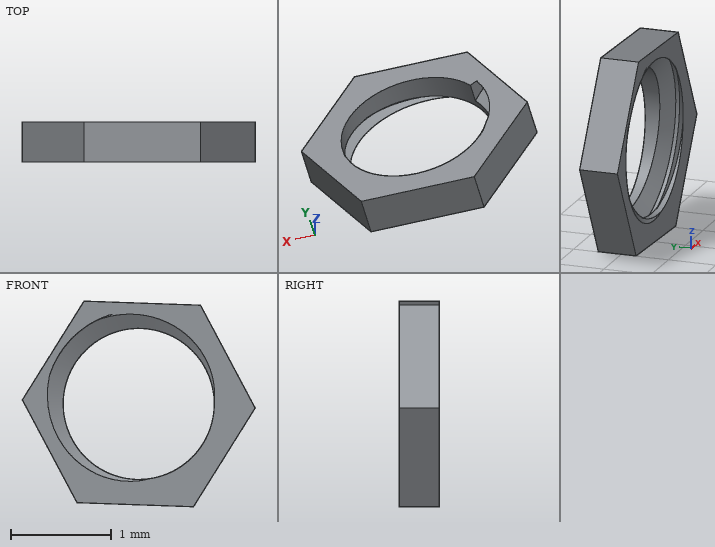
import cadquery as cq
import math

width = 2.31
thickness = 0.4
hex_tilt = -2.0
corner_radius = width / 2 / math.cos(math.radians(hex_tilt))

pitch = 0.32
minor_radius = 0.748
major_radius = 0.929
thread_half_angle = 30.0
root_width = pitch / 8
front_exit_angle = 140.0
overcut = 0.023
cutter_turns = 2


def hexagon_blank():
    """Nut body with a plain bore, centred on the origin with its axis along Z."""
    return (
        cq.Workplane("XY")
        .workplane(offset=-thickness / 2)
        .polygon(6, 2 * corner_radius)
        .extrude(thickness)
        .rotate((0, 0, 0), (0, 0, 1), hex_tilt)
        .faces(">Z")
        .workplane()
        .hole(2 * minor_radius)
    )


def thread_cutter():
    """Trapezoid swept along a helix and trimmed to the body thickness."""
    start_z = thickness / 2 - pitch * (cutter_turns - 1)
    inner_radius = minor_radius - overcut
    half_root = root_width / 2
    flank_rise = (major_radius - inner_radius) * math.tan(math.radians(thread_half_angle))
    half_mouth = half_root + flank_rise

    helix = cq.Wire.makeHelix(pitch, cutter_turns * pitch, minor_radius)
    cutter = (
        cq.Workplane("XZ")
        .polyline(
            [
                (inner_radius, -half_mouth),
                (major_radius, -half_root),
                (major_radius, half_root),
                (inner_radius, half_mouth),
            ]
        )
        .close()
        .sweep(cq.Workplane(obj=helix), isFrenet=True)
    )
    cutter = cutter.rotate((0, 0, 0), (0, 0, 1), front_exit_angle).translate((0, 0, start_z))

    slab = cq.Workplane("XY").box(2 * width, 2 * width, thickness)
    return cutter.intersect(slab, clean=False)


nut = hexagon_blank().cut(thread_cutter(), clean=False)

result = nut.rotate((0, 0, 0), (1, 0, 0), 90)